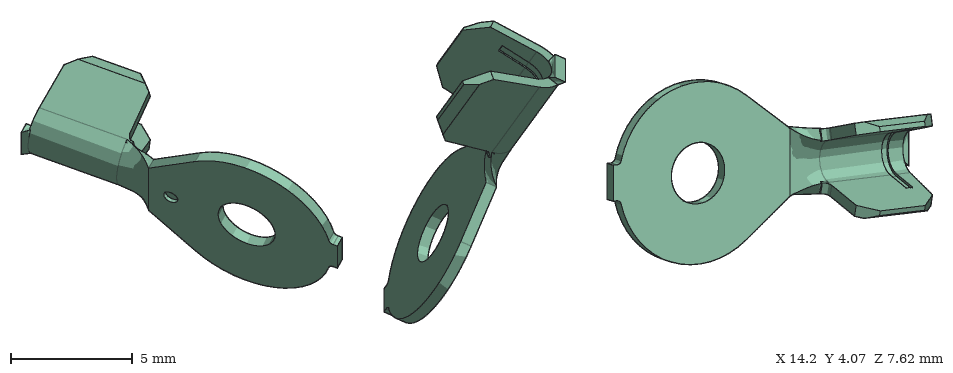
import cadquery as cq
import math

SHEET = 0.5

RING_RADIUS = 3.81
STUD_HOLE_RADIUS = 1.28
TONGUE_ROOT_X = -4.41
TONGUE_ROOT_HALF = 1.44
DIMPLE_X = -3.41
DIMPLE_RADIUS = 0.31
DIMPLE_DEPTH = 0.17

TOTAL_LENGTH = 14.22
TAB_HALF = 0.75
TAB_FILLET = 0.2
FRONT_TAB_X = 4.08
REAR_TAB_X = FRONT_TAB_X - TOTAL_LENGTH

WING_ANGLE = math.radians(15)
BEND_OUTER = 1.41
BEND_INNER = BEND_OUTER - SHEET
BARREL_HEIGHT = 4.07
BARREL_FRONT_X = -5.85
BARREL_REAR_X = -9.9
REAR_EDGE_SLOPE = math.radians(5.3)
REAR_TAB_ROOT_X = -9.83
REAR_TAB_ROOT_HALF = 0.8
TIP_BEVEL_LENGTH = 0.44
TIP_BEVEL_DEPTH = 0.28
FRONT_CORNER = 0.73
REAR_CORNER = 0.78

NECK_MIDDLE_X = -5.12
NECK_MIDDLE_BEND = 1.8
NECK_MIDDLE_ANGLE = math.radians(50.5)
NECK_FILLET = 0.28

GROOVE_X = -8.99
GROOVE_WIDTH = 0.31
GROOVE_DEPTH = 0.1
GROOVE_TOP = 2.42

BEND_ANGLE = math.pi / 2 - WING_ANGLE
COS_WING = math.cos(WING_ANGLE)
SIN_WING = math.sin(WING_ANGLE)
INNER_TANGENT_Y = BEND_OUTER - BEND_INNER * SIN_WING
WING_LENGTH = (BARREL_HEIGHT - INNER_TANGENT_Y) / COS_WING


def bend_point(outer_radius, radius, angle):
    """(Y, Z) on a circle concentric with a bend; the angle is measured from the bottom."""
    return (outer_radius - radius * math.cos(angle), radius * math.sin(angle))


def wing_point(radius, distance):
    """(Y, Z) on the +Z wing, `distance` beyond the bend, on the face tangent to `radius`."""
    y, z = bend_point(BEND_OUTER, radius, BEND_ANGLE)
    return (y + distance * COS_WING, z + distance * SIN_WING)


def flip(point):
    """The same point on the -Z half."""
    return (point[0], -point[1])


def curved_strip(plane, outer_radius, half_angle):
    """Section of the curved sheet, reaching `half_angle` to both sides of the bottom."""
    outer = bend_point(outer_radius, outer_radius, half_angle)
    inner = bend_point(outer_radius, outer_radius - SHEET, half_angle)
    return (
        plane.moveTo(*flip(outer))
        .threePointArc((0, 0), outer)
        .lineTo(*inner)
        .threePointArc((SHEET, 0), flip(inner))
        .close()
    )


def flat_strip(plane, half_width):
    """Section of the flat sheet."""
    return plane.polyline(
        [(0, -half_width), (0, half_width), (SHEET, half_width), (SHEET, -half_width)]
    ).close()


def section_plane(x):
    return cq.Workplane("YZ", origin=(x, 0, 0))


def loft_through(*sections):
    wires = [section.wires().val() for section in sections]
    return cq.Workplane(cq.Solid.makeLoft(wires))


def make_tongue():
    root_distance = math.hypot(TONGUE_ROOT_X, TONGUE_ROOT_HALF)
    root_direction = math.atan2(TONGUE_ROOT_HALF, TONGUE_ROOT_X)
    touch = root_direction - math.acos(RING_RADIUS / root_distance)
    touch_point = (RING_RADIUS * math.cos(touch), RING_RADIUS * math.sin(touch))
    root = (TONGUE_ROOT_X, TONGUE_ROOT_HALF)

    fillet_z = TAB_HALF + TAB_FILLET
    fillet_x = math.sqrt((RING_RADIUS + TAB_FILLET) ** 2 - fillet_z**2)
    ring_share = RING_RADIUS / (RING_RADIUS + TAB_FILLET)
    fillet_start = (fillet_x * ring_share, fillet_z * ring_share)
    middle = (math.atan2(-fillet_z, -fillet_x) - math.pi / 2) / 2
    fillet_middle = (
        fillet_x + TAB_FILLET * math.cos(middle),
        fillet_z + TAB_FILLET * math.sin(middle),
    )
    fillet_end = (fillet_x, TAB_HALF)

    tongue = (
        cq.Workplane("XZ")
        .moveTo(*root)
        .lineTo(*touch_point)
        .threePointArc((0, RING_RADIUS), fillet_start)
        .threePointArc(fillet_middle, fillet_end)
        .lineTo(FRONT_TAB_X, TAB_HALF)
        .lineTo(FRONT_TAB_X, -TAB_HALF)
        .lineTo(*flip(fillet_end))
        .threePointArc(flip(fillet_middle), flip(fillet_start))
        .threePointArc((0, -RING_RADIUS), flip(touch_point))
        .lineTo(*flip(root))
        .close()
        .extrude(-SHEET)
    )
    stud_hole = cq.Workplane("XZ").circle(STUD_HOLE_RADIUS).extrude(-SHEET)
    dimple = cq.Workplane("XZ").center(DIMPLE_X, 0).circle(DIMPLE_RADIUS).extrude(-DIMPLE_DEPTH)
    return tongue.cut(stud_hole).cut(dimple)


def make_barrel():
    outer_bend_end = wing_point(BEND_OUTER, 0)
    bevel_start = wing_point(BEND_OUTER, WING_LENGTH - TIP_BEVEL_LENGTH)
    tip_outer = wing_point(BEND_OUTER - TIP_BEVEL_DEPTH, WING_LENGTH)
    tip_inner = wing_point(BEND_INNER, WING_LENGTH)
    inner_bend_end = wing_point(BEND_INNER, 0)

    barrel = (
        section_plane(BARREL_REAR_X)
        .moveTo(*flip(outer_bend_end))
        .threePointArc((0, 0), outer_bend_end)
        .lineTo(*bevel_start)
        .lineTo(*tip_outer)
        .lineTo(*tip_inner)
        .lineTo(*inner_bend_end)
        .threePointArc((SHEET, 0), flip(inner_bend_end))
        .lineTo(*flip(tip_inner))
        .lineTo(*flip(tip_outer))
        .lineTo(*flip(bevel_start))
        .close()
        .extrude(BARREL_FRONT_X - BARREL_REAR_X)
    )

    rear_lean = BARREL_HEIGHT * math.tan(REAR_EDGE_SLOPE)
    rear_waste = (
        cq.Workplane("XY")
        .polyline(
            [
                (BARREL_REAR_X, 0),
                (BARREL_REAR_X + rear_lean, BARREL_HEIGHT),
                (BARREL_REAR_X, BARREL_HEIGHT),
            ]
        )
        .close()
        .extrude(BARREL_HEIGHT, both=True)
    )
    return barrel.cut(rear_waste)


def wing_plane():
    """Inner face of the +Z wing: local x runs along X, local y from the bend to the tip."""
    y, z = wing_point(BEND_INNER, 0)
    return cq.Workplane(
        cq.Plane(origin=(0, y, z), xDir=(1, 0, 0), normal=(0, -SIN_WING, COS_WING))
    )


def make_corner_waste():
    """Wedges that bevel both tip corners of the +Z wing."""
    rear_x = BARREL_REAR_X + BARREL_HEIGHT * math.tan(REAR_EDGE_SLOPE)
    waste = cq.Workplane()
    for edge_x, length in ((BARREL_FRONT_X, -FRONT_CORNER), (rear_x, REAR_CORNER)):
        corner = [
            (edge_x + length, WING_LENGTH),
            (edge_x - length, WING_LENGTH - 2 * abs(length)),
            (edge_x - length, WING_LENGTH),
        ]
        waste = waste.union(wing_plane().polyline(corner).close().extrude(2 * SHEET, both=True))
    return waste


def make_neck():
    """Transition from the curved barrel to the flat tongue."""
    barrel_end = curved_strip(section_plane(BARREL_FRONT_X), BEND_OUTER, BEND_ANGLE)
    middle = curved_strip(section_plane(NECK_MIDDLE_X), NECK_MIDDLE_BEND, NECK_MIDDLE_ANGLE)
    tongue_end = flat_strip(section_plane(TONGUE_ROOT_X), TONGUE_ROOT_HALF)
    return loft_through(barrel_end, middle, tongue_end)


def make_rear_tab():
    """Carrier tab that flattens out from the curved bottom of the barrel."""
    tab_angle = math.asin(REAR_TAB_ROOT_HALF / BEND_OUTER)
    tab_end = flat_strip(section_plane(REAR_TAB_X), TAB_HALF)
    barrel_end = curved_strip(section_plane(REAR_TAB_ROOT_X), BEND_OUTER, tab_angle)
    return loft_through(tab_end, barrel_end)


def make_neck_fillet():
    """Concave corner between the front edge of the +Z wing and the neck."""
    inset = NECK_FILLET * (1 - math.sqrt(0.5))
    fillet_end_x = BARREL_FRONT_X + NECK_FILLET
    return (
        wing_plane()
        .moveTo(BARREL_FRONT_X, NECK_FILLET)
        .threePointArc((BARREL_FRONT_X + inset, inset), (fillet_end_x, 0))
        .lineTo(fillet_end_x, -NECK_FILLET / 2)
        .lineTo(BARREL_FRONT_X, -NECK_FILLET / 2)
        .close()
        .extrude(SHEET)
    )


def make_groove():
    """Groove in the inner surface, running round the bend and up both wings."""
    floor_radius = BEND_INNER + GROOVE_DEPTH
    floor_bend_end = wing_point(floor_radius, 0)
    wall_length = (GROOVE_TOP - INNER_TANGENT_Y) / COS_WING
    floor_top = wing_point(floor_radius, wall_length)
    inner_top = wing_point(BEND_INNER, wall_length)
    return (
        section_plane(GROOVE_X - GROOVE_WIDTH / 2)
        .moveTo(*flip(floor_bend_end))
        .threePointArc((SHEET - GROOVE_DEPTH, 0), floor_bend_end)
        .lineTo(*floor_top)
        .lineTo(*inner_top)
        .lineTo(*flip(inner_top))
        .lineTo(*flip(floor_top))
        .close()
        .extrude(GROOVE_WIDTH)
    )


def on_both_wings(solid):
    return solid.union(solid.mirror("XY"))


result = (
    make_barrel()
    .cut(on_both_wings(make_corner_waste()))
    .cut(make_groove())
    .union(make_neck())
    .union(on_both_wings(make_neck_fillet()))
    .union(make_rear_tab())
    .union(make_tongue())
)